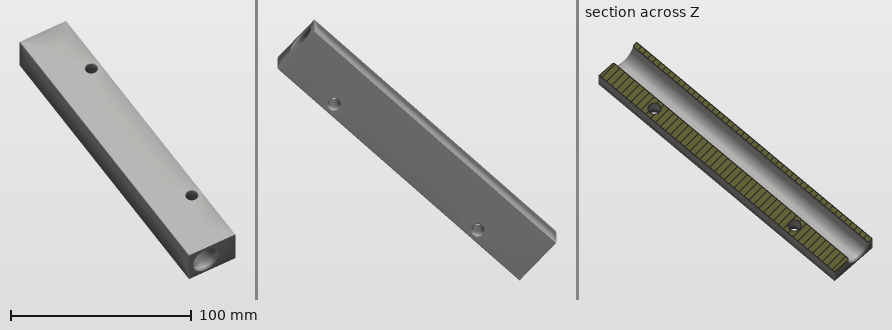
import cadquery as cq

length = 182.0
width = 30.0
height = 20.0
edge_chamfer = 0.3

bore_diameter = 15.0
bore_from_front = 11.0
bore_chamfer = 0.82

hole_diameter = 7.0
hole_chamfer = 0.3
hole_from_end = 37.0
hole_from_back = 6.0

bore_y = bore_from_front - width / 2
hole_y = width / 2 - hole_from_back
hole_x = length / 2 - hole_from_end

bar = cq.Workplane("XY").box(length, width, height)

bar = bar.edges("|X").chamfer(edge_chamfer)

bar = (
    bar.faces("<X")
    .workplane(origin=(0, bore_y, 0))
    .hole(bore_diameter)
)

bar = bar.faces("<X or >X").edges("%CIRCLE").chamfer(bore_chamfer)

bar = (
    bar.faces(">Z")
    .workplane(origin=(0, 0, 0))
    .pushPoints([(-hole_x, hole_y), (hole_x, hole_y)])
    .hole(hole_diameter)
)

result = bar.faces("<Z or >Z").edges("%CIRCLE").chamfer(hole_chamfer)